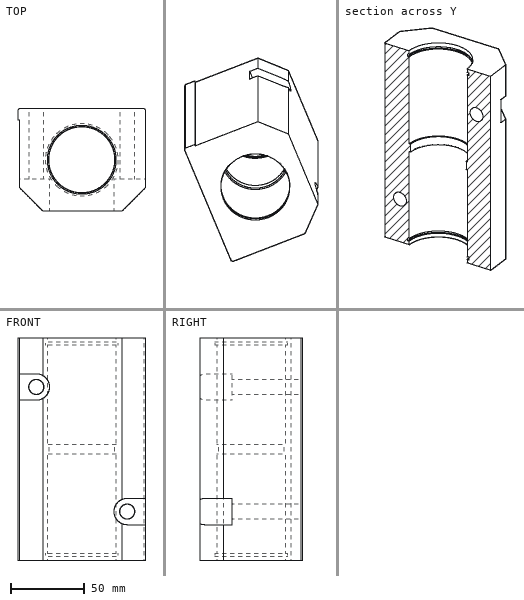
import cadquery as cq

WIDTH = 87.0
DEPTH = 70.0
HEIGHT = 152.0
FRONT_CHAMFER = 16.0
BACK_CHAMFER = 1.0

STEP_THICKNESS = 1.0
PAD_DEPTH = 8.0

BORE_DIAMETER = 45.0
SEAT_DIAMETER = 47.0
GROOVE_DIAMETER = 49.5
GROOVE_WIDTH = 1.85
GROOVE_OFFSET = 3.0
BEARING_LENGTH = 68.0

MOUNT_X = 31.0
MOUNT_END_DISTANCE = 33.5
MOUNT_DIAMETER = 10.11
SLOT_WIDTH = 18.0
SLOT_DEPTH = 22.0

half_width = WIDTH / 2
half_depth = DEPTH / 2
half_height = HEIGHT / 2
step_x = -half_width + STEP_THICKNESS
seat_depth = GROOVE_OFFSET + GROOVE_WIDTH + BEARING_LENGTH
mount_z = half_height - MOUNT_END_DISTANCE


def make_body():
    """Prism with chamfered corners and a thin pad along the back of the -X side."""
    chamfer_y = -half_depth + FRONT_CHAMFER
    pad_front_y = half_depth - PAD_DEPTH
    outline = [
        (step_x + FRONT_CHAMFER, -half_depth),
        (half_width - FRONT_CHAMFER, -half_depth),
        (half_width, chamfer_y),
        (half_width, half_depth - BACK_CHAMFER),
        (half_width - BACK_CHAMFER, half_depth),
        (-half_width + BACK_CHAMFER, half_depth),
        (-half_width, half_depth - BACK_CHAMFER),
        (-half_width, pad_front_y),
        (step_x, pad_front_y),
        (step_x, chamfer_y),
    ]
    return cq.Workplane("XY", origin=(0, 0, -half_height)).polyline(outline).close().extrude(HEIGHT)


def cylinder(diameter, bottom, length):
    """Cylinder on the Z axis."""
    return cq.Workplane("XY", origin=(0, 0, bottom)).circle(diameter / 2).extrude(length)


def make_bore():
    """Through bore, widened from both ends to the bearing seats and their grooves."""
    seat = cylinder(SEAT_DIAMETER, half_height - seat_depth, seat_depth)
    groove = cylinder(GROOVE_DIAMETER, half_height - GROOVE_OFFSET - GROOVE_WIDTH, GROOVE_WIDTH)
    top_end = seat.union(groove)
    bore = cylinder(BORE_DIAMETER, -half_height, HEIGHT)
    return bore.union(top_end).union(top_end.mirror("XY"))


def make_mount(side, z):
    """Round-ended slot from the front, open to one side (-1 or 1), with a through hole along Y."""
    front = cq.Workplane("XZ", origin=(side * MOUNT_X, -half_depth, z))
    round_end = front.circle(SLOT_WIDTH / 2).extrude(-SLOT_DEPTH)
    open_end = front.center(side * MOUNT_X / 2, 0).rect(MOUNT_X, SLOT_WIDTH).extrude(-SLOT_DEPTH)
    hole = front.circle(MOUNT_DIAMETER / 2).extrude(-DEPTH)
    return round_end.union(open_end).union(hole)


result = make_body().cut(make_bore())
result = result.cut(make_mount(-1, mount_z))
result = result.cut(make_mount(1, -mount_z))